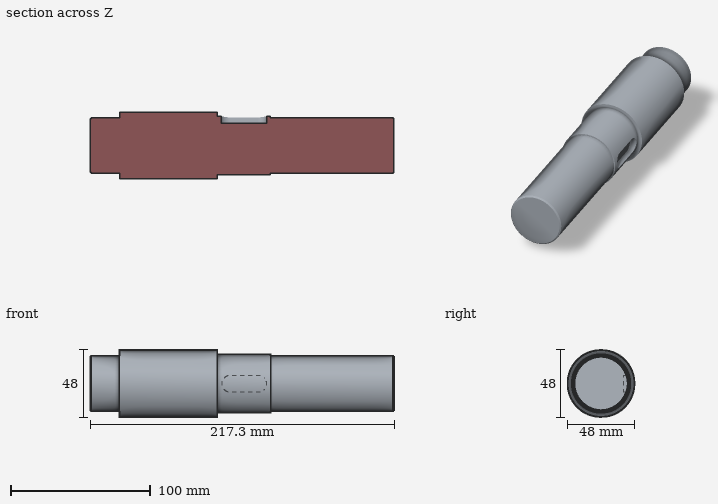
import cadquery as cq

TOTAL_LENGTH = 217.3
JOURNAL_LENGTH = 21.0
COLLAR_LENGTH = 70.0
SEAT_LENGTH = 38.0
TAIL_LENGTH = TOTAL_LENGTH - JOURNAL_LENGTH - COLLAR_LENGTH - SEAT_LENGTH

END_DIAMETER = 40.0
COLLAR_DIAMETER = 48.0
SEAT_DIAMETER = 42.0
END_CHAMFER = 1.0

KEYWAY_LENGTH = 32.0
KEYWAY_WIDTH = 12.0
KEYWAY_DEPTH = 5.0

SEAT_START = JOURNAL_LENGTH + COLLAR_LENGTH
KEYWAY_CENTRE_X = SEAT_START + SEAT_LENGTH / 2
KEYWAY_FLOOR_Y = SEAT_DIAMETER / 2 - KEYWAY_DEPTH


def make_shaft():
    """Stack the four coaxial steps and chamfer both shaft ends."""
    steps = [
        (END_DIAMETER, JOURNAL_LENGTH),
        (COLLAR_DIAMETER, COLLAR_LENGTH),
        (SEAT_DIAMETER, SEAT_LENGTH),
        (END_DIAMETER, TAIL_LENGTH),
    ]
    shaft = cq.Workplane("YZ")
    start = 0.0
    for diameter, length in steps:
        step = cq.Workplane("YZ", origin=(start, 0, 0)).circle(diameter / 2).extrude(length)
        shaft = shaft.union(step)
        start += length
    return shaft.faces("<X or >X").edges().chamfer(END_CHAMFER)


def make_keyway_cutter():
    """Round-ended slot reaching from the keyway floor out to the seat surface."""
    plane = cq.Plane(
        origin=(KEYWAY_CENTRE_X, KEYWAY_FLOOR_Y, 0),
        xDir=(1, 0, 0),
        normal=(0, 1, 0),
    )
    return cq.Workplane(plane).slot2D(KEYWAY_LENGTH, KEYWAY_WIDTH).extrude(KEYWAY_DEPTH)


result = make_shaft().cut(make_keyway_cutter())